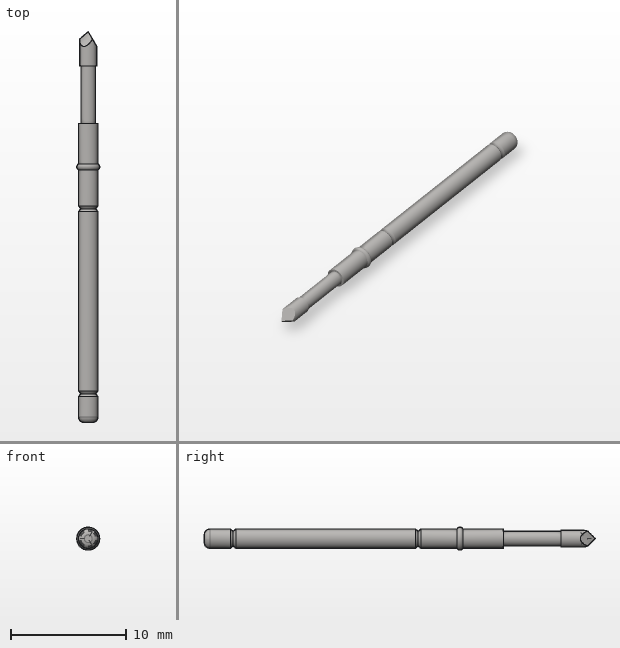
import cadquery as cq
import math

LENGTH = 34.0
TIP_Y = LENGTH / 2

HEAD_RADIUS = 0.75
HEAD_LENGTH = 3.0
STEM_RADIUS = 0.65
BARREL_RADIUS = 0.85
BARREL_START = 8.0
TAIL_FILLET = 0.5

RING_DIAMETER = 2.0
RING_WIDTH = 0.5
RING_CENTER = 11.75

GROOVE_WIDTH = 0.48
GROOVE_DEPTH = 0.2
GROOVE_CENTERS = (15.4, 31.5)

FACET_COUNT = 3
FACET_ANGLE = 30.0


def cylinder(radius, start, end):
    """Cylinder on the Y axis between two distances from the tip."""
    plane = cq.Workplane("XZ", origin=(0, TIP_Y - start, 0))
    return plane.circle(radius).extrude(end - start)


def make_ring():
    """Collar with a rounded rim."""
    center_y = TIP_Y - RING_CENTER
    half_width = RING_WIDTH / 2
    profile = (
        cq.Workplane("XY")
        .moveTo(0, center_y - half_width)
        .lineTo(BARREL_RADIUS, center_y - half_width)
        .threePointArc((RING_DIAMETER / 2, center_y), (BARREL_RADIUS, center_y + half_width))
        .lineTo(0, center_y + half_width)
        .close()
    )
    return profile.revolve(360, (0, 0), (0, 1))


def make_groove(center):
    """Cutter for a V-shaped groove around the barrel."""
    center_y = TIP_Y - center
    half_width = GROOVE_WIDTH / 2
    profile = (
        cq.Workplane("XY")
        .polyline([
            (BARREL_RADIUS, center_y - half_width),
            (BARREL_RADIUS - GROOVE_DEPTH, center_y),
            (BARREL_RADIUS, center_y + half_width),
        ])
        .close()
    )
    return profile.revolve(360, (0, 0), (0, 1))


def make_tip_cutter(turn):
    """Wedge outside one tip facet; the facet faces +X before turning about Y."""
    reach = 2 * HEAD_RADIUS
    drop = reach / math.tan(math.radians(FACET_ANGLE))
    wedge = (
        cq.Workplane("XY")
        .workplane(offset=-reach)
        .polyline([
            (-reach, TIP_Y + drop),
            (reach, TIP_Y + drop),
            (reach, TIP_Y - drop),
        ])
        .close()
        .extrude(2 * reach)
    )
    return wedge.rotate((0, 0, 0), (0, 1, 0), turn)


barrel = cylinder(BARREL_RADIUS, BARREL_START, LENGTH).faces("<Y").edges().fillet(TAIL_FILLET)
for groove_center in GROOVE_CENTERS:
    barrel = barrel.cut(make_groove(groove_center))

head = cylinder(HEAD_RADIUS, 0, HEAD_LENGTH)
for facet in range(FACET_COUNT):
    head = head.cut(make_tip_cutter(facet * 360 / FACET_COUNT))

stem = cylinder(STEM_RADIUS, HEAD_LENGTH, BARREL_START)
result = head.union(stem).union(barrel).union(make_ring())